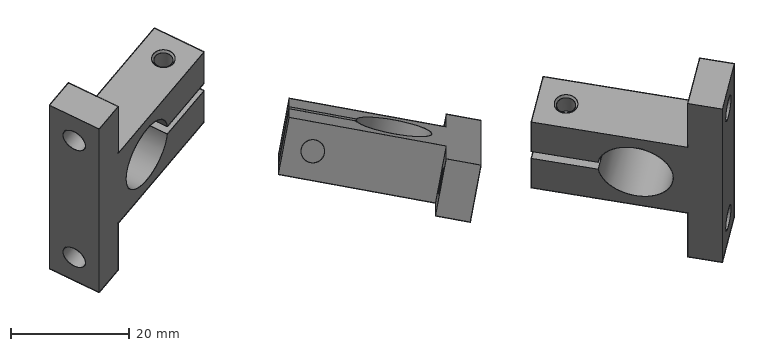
import cadquery as cq

width = 10.0
base_height = 42.0
base_thickness = 6.0
mount_hole_diameter = 4.5
mount_hole_spacing = 30.0

total_depth = 33.0
clamp_height = 18.0
bore_diameter = 13.0
bore_y = 15.0
slot_height = 1.9

screw_diameter = 4.0
screw_end_distance = 5.0
screw_y = total_depth - screw_end_distance
tap_diameter = 3.25
mouth_chamfer = (screw_diameter - tap_diameter) / 2

clamp_top = clamp_height / 2
clamp_bottom = -clamp_height / 2
arm_thickness = (clamp_height - slot_height) / 2
screw_tip_z = clamp_top - arm_thickness / 2


def box_from_y(y_start, y_end, height):
    """Full-width box between two depths, centred in X and Z."""
    box = cq.Workplane("XY").box(width, y_end - y_start, height, centered=(True, False, True))
    return box.translate((0, y_start, 0))


def upright_cylinder(diameter, z_bottom, z_top):
    """Vertical cylinder on the screw axis."""
    sketch = cq.Workplane("XY", origin=(0, screw_y, z_bottom)).circle(diameter / 2)
    return sketch.extrude(z_top - z_bottom)


def make_mount_holes():
    """Two fixing holes through the base plate along Y."""
    half_spacing = mount_hole_spacing / 2
    return (
        cq.Workplane("XZ")
        .pushPoints([(0, -half_spacing), (0, half_spacing)])
        .circle(mount_hole_diameter / 2)
        .extrude(-base_thickness)
    )


def make_shaft_bore():
    """Bore for the clamped shaft along X."""
    return cq.Workplane("YZ").center(bore_y, 0).circle(bore_diameter / 2).extrude(width / 2, both=True)


def make_screw():
    """Plain screw body running from the clamp underside to its tip in the upper arm."""
    return upright_cylinder(screw_diameter, clamp_bottom, screw_tip_z)


def make_tap_hole():
    """Narrower hole above the screw tip, with a conical mouth at the top face."""
    hole = upright_cylinder(tap_diameter, screw_tip_z, clamp_top)
    mouth = cq.Workplane(
        cq.Solid.makeCone(
            tap_diameter / 2,
            screw_diameter / 2,
            mouth_chamfer,
            pnt=cq.Vector(0, screw_y, clamp_top - mouth_chamfer),
        )
    )
    return hole.union(mouth)


def make_support():
    """Shaft support: base plate and split clamp, with all its holes."""
    base = box_from_y(0, base_thickness, base_height)
    clamp = box_from_y(base_thickness, total_depth, clamp_height)
    slot = box_from_y(bore_y, total_depth, slot_height)
    support = base.union(clamp)
    support = support.cut(make_mount_holes()).cut(make_shaft_bore()).cut(slot)
    return support.cut(make_screw()).cut(make_tap_hole())


support = make_support()
screw = make_screw()
result = cq.Compound.makeCompound([support.solids().val(), screw.val()])